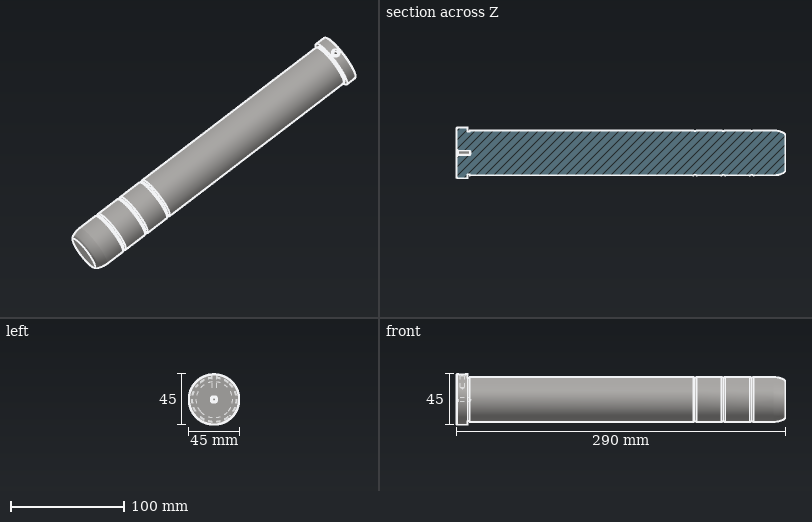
import cadquery as cq
import math

length = 290.0
head_diameter = 45.0
head_thickness = 10.0
head_chamfer = 0.5
shaft_radius = 20.0

relief_width = 1.7
relief_depth = 1.0

groove_width = 3.5
groove_depth = 0.5
groove_count = 3
groove_pitch = 25.0
first_groove_x = 210.2

nose_start_x = 279.5
nose_end_x = 287.5
nose_drop = 1.7
end_radius = 16.0
nose_bulge = nose_drop / 4
end_bulge = 0.3

hole_depth = 11.5
mouth_straight_depth = 0.3
drill_point_angle = 118
end_mouth_diameter = 6.0
end_bore_diameter = 3.5
side_mouth_diameter = 7.0
side_bore_diameter = 4.0
side_hole_x = head_thickness / 2


def pin_body():
    """Revolve the stepped half-profile about the X axis."""
    head_radius = head_diameter / 2
    relief_radius = shaft_radius - relief_depth
    relief_end_x = head_thickness + relief_width
    nose_radius = shaft_radius - nose_drop
    profile = (
        cq.Workplane("XY")
        .lineTo(0, head_radius - head_chamfer)
        .lineTo(head_chamfer, head_radius)
        .lineTo(head_thickness, head_radius)
        .lineTo(head_thickness, relief_radius)
        .lineTo(relief_end_x, relief_radius)
        .lineTo(relief_end_x, shaft_radius)
    )
    for index in range(groove_count):
        center_x = first_groove_x + index * groove_pitch
        profile = (
            profile.lineTo(center_x - groove_width / 2, shaft_radius)
            .lineTo(center_x, shaft_radius - groove_depth)
            .lineTo(center_x + groove_width / 2, shaft_radius)
        )
    profile = (
        profile.lineTo(nose_start_x, shaft_radius)
        .threePointArc(
            ((nose_start_x + nose_end_x) / 2, shaft_radius - nose_drop / 2 + nose_bulge),
            (nose_end_x, nose_radius),
        )
        .threePointArc(
            ((nose_end_x + length) / 2 + end_bulge, (nose_radius + end_radius) / 2 + end_bulge),
            (length, end_radius),
        )
        .lineTo(length, 0)
        .close()
    )
    return profile.revolve(360, (0, 0, 0), (1, 0, 0))


def screw_hole(mouth_diameter, bore_diameter):
    """Hole-shaped cutter starting at the origin and running along +X."""
    mouth_radius = mouth_diameter / 2
    bore_radius = bore_diameter / 2
    bore_start = mouth_straight_depth + mouth_radius - bore_radius
    point_length = bore_radius / math.tan(math.radians(drill_point_angle / 2))
    return (
        cq.Workplane("XY")
        .lineTo(0, mouth_radius)
        .lineTo(mouth_straight_depth, mouth_radius)
        .lineTo(bore_start, bore_radius)
        .lineTo(hole_depth, bore_radius)
        .lineTo(hole_depth + point_length, 0)
        .close()
        .revolve(360, (0, 0, 0), (1, 0, 0))
    )


end_hole = screw_hole(end_mouth_diameter, end_bore_diameter)
side_hole = (
    screw_hole(side_mouth_diameter, side_bore_diameter)
    .rotate((0, 0, 0), (0, 1, 0), 90)
    .translate((side_hole_x, 0, head_diameter / 2))
)
result = pin_body().cut(end_hole).cut(side_hole)